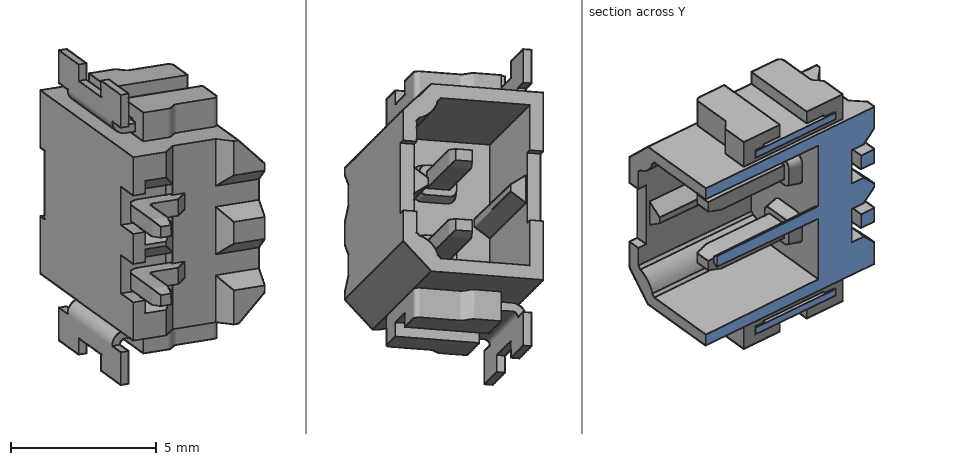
import cadquery as cq
import math

OVERLAP = 0.05

BODY_LENGTH = 7.5
BODY_HEIGHT = 5.0
BODY_HALF_WIDTH = 3.35
BODY_CHAMFER = 1.0
WALL = 0.48
NOTCH_DEPTH = 0.35
NOTCH_WIDTH = 2.5

CAVITY_DEPTH = 5.0
CAVITY_DRAFT = 0.45
POST_SIZE = 0.87
POST_FLAT = 0.11
POST_ROUND_MID = 0.52
RIB_START = 0.5
RIB_BASE_HALF = 0.5
RIB_TIP_HALF = 0.125
RIB_HEIGHT = 0.55
BOSS_WIDTH = 1.55
BOSS_THICKNESS = 1.3
BOSS_CORNER = 0.35
BOSS_HEIGHT = 0.5
BOSS_STEP_IN = 0.12

RELIEF_DEPTH = 0.47
RELIEF_BOTTOM = 1.25
RELIEF_TOP = 3.82
SLOT_WIDTH = 1.4
SLOT_DEPTH = 1.0
SLOT_CEILING = 1.7
UPPER_FLARE_HALF = 0.38
LOWER_FLARE_BOTTOM = 0.46

PIN_PITCH = 2.5
PIN_AXIS_HEIGHT = 2.5
PIN_WIDTH = 0.6
PIN_HEIGHT = 0.8
PIN_START = 1.2
PIN_TIP_LENGTH = 0.5
PIN_TIP_STEP = 0.1
TAIL_THICKNESS = 0.6
TAIL_END = 9.5
TAIL_BEND = 0.5
TAIL_INNER_BEND = 0.15
LEG_TOP = 1.7

HOLDER_CENTER = 4.0
HOLDER_TOP = 4.0
HOLDER_BOTTOM = 1.0
HOLDER_OUTER = 4.4
HOLDER_HALF_NARROW = 1.9
HOLDER_HALF_WIDE = 2.2
HOLDER_SHOULDER = 2.02
HOLDER_ROUND = 0.2
GAP_HALF = 0.6
CLIP_THICKNESS = 0.3
CLIP_INNER = 3.6
CLIP_BEND = 0.5
CLIP_HALF = 1.8
CLIP_TOP = 0.92
CLIP_CORNER = 0.1
NECK_HALF = 1.33
FOOT_HALF = 2.5
FOOT_END = 5.3
FOOT_NOTCH_HALF = 0.9
FOOT_NOTCH_DEPTH = 0.6

PIN_POSITIONS = [-PIN_PITCH / 2, PIN_PITCH / 2]
REAR_FLOOR = BODY_LENGTH - RELIEF_DEPTH


def box(x0, x1, y0, y1, z0, z1):
    """Axis-aligned block between two corners."""
    return cq.Workplane("XY").box(x1 - x0, y1 - y0, z1 - z0, centered=False).translate((x0, y0, z0))


def section_plane(x):
    """Plane at the given X whose local axes are Y and Z, with its normal along +X."""
    return cq.Workplane("YZ", origin=(x, 0, 0))


def plan_plane(y):
    """Plane at height y whose local axes are Z and X, with its normal along +Y."""
    return cq.Workplane("ZX", origin=(0, y, 0))


def symmetric(half):
    """A shape together with its mirror image across the mid plane Z = 0."""
    return half.union(half.mirror("XY"))


def make_shell():
    """Outer housing block with its two chamfered long edges and the mouth notches."""
    shell = box(0, BODY_LENGTH, 0, BODY_HEIGHT, -BODY_HALF_WIDTH, BODY_HALF_WIDTH)
    shell = shell.edges("|X and >Y").chamfer(BODY_CHAMFER)
    notch = box(0, NOTCH_DEPTH, 0, BODY_HEIGHT, -NOTCH_WIDTH / 2, NOTCH_WIDTH / 2)
    return shell.cut(notch)


def make_cavity():
    """Drafted mating cavity with a rounded post left standing in each upper corner."""
    low = WALL
    high = BODY_HEIGHT - WALL
    side = BODY_HALF_WIDTH - WALL
    inset = POST_SIZE - POST_FLAT
    return (
        section_plane(0)
        .moveTo(low, -side)
        .lineTo(high - POST_SIZE, -side)
        .lineTo(high - inset, -side + POST_FLAT)
        .threePointArc(
            (high - POST_ROUND_MID, -side + POST_ROUND_MID),
            (high - POST_FLAT, -side + inset),
        )
        .lineTo(high, -side + POST_SIZE)
        .lineTo(high, side - POST_SIZE)
        .lineTo(high - POST_FLAT, side - inset)
        .threePointArc(
            (high - POST_ROUND_MID, side - POST_ROUND_MID),
            (high - inset, side - POST_FLAT),
        )
        .lineTo(high - POST_SIZE, side)
        .lineTo(low, side)
        .close()
        .extrude(CAVITY_DEPTH, taper=CAVITY_DRAFT)
    )


def make_rib(wall_height, inward):
    """Keying rib on one long wall, thickening towards the floor; inward is +1 or -1 along Y."""
    root = wall_height - inward * OVERLAP
    tip = wall_height + inward * RIB_HEIGHT
    return (
        section_plane(RIB_START)
        .polyline([
            (root, -RIB_BASE_HALF),
            (wall_height, -RIB_BASE_HALF),
            (tip, -RIB_TIP_HALF),
            (tip, RIB_TIP_HALF),
            (wall_height, RIB_BASE_HALF),
            (root, RIB_BASE_HALF),
        ])
        .close()
        .extrude(CAVITY_DEPTH - RIB_START + OVERLAP, taper=-CAVITY_DRAFT)
    )


def make_boss(z):
    """Tapered boss with rounded corners around a pin, rising from the cavity floor."""
    base = cq.Sketch().rect(BOSS_WIDTH, BOSS_THICKNESS).vertices().fillet(BOSS_CORNER)
    draft = math.degrees(math.atan2(BOSS_STEP_IN, BOSS_HEIGHT))
    return (
        section_plane(CAVITY_DEPTH)
        .center(PIN_AXIS_HEIGHT, z)
        .placeSketch(base)
        .extrude(-BOSS_HEIGHT, taper=draft)
    )


def make_rear_relief():
    """Channel with 45 degree sides across the full width of the rear face."""
    return (
        cq.Workplane("XY", origin=(0, 0, -BODY_HALF_WIDTH))
        .polyline([
            (BODY_LENGTH, RELIEF_BOTTOM),
            (REAR_FLOOR, RELIEF_BOTTOM + RELIEF_DEPTH),
            (REAR_FLOOR, RELIEF_TOP - RELIEF_DEPTH),
            (BODY_LENGTH, RELIEF_TOP),
        ])
        .close()
        .extrude(2 * BODY_HALF_WIDTH)
    )


def make_flare(z, floor_half, y0, y1):
    """Slot whose 45 degree sides open from the relief floor out to the rear face."""
    mouth_half = floor_half + RELIEF_DEPTH
    return (
        plan_plane(y0)
        .polyline([
            (z - floor_half, REAR_FLOOR),
            (z + floor_half, REAR_FLOOR),
            (z + mouth_half, BODY_LENGTH),
            (z - mouth_half, BODY_LENGTH),
        ])
        .close()
        .extrude(y1 - y0)
    )


def make_tail_slot(z):
    """Straight slot around a pin's leg, flared at the rear face below and above the relief."""
    half = SLOT_WIDTH / 2
    slot = box(BODY_LENGTH - SLOT_DEPTH, BODY_LENGTH, 0, SLOT_CEILING, z - half, z + half)
    lower_flare = make_flare(z, half, LOWER_FLARE_BOTTOM, SLOT_CEILING)
    upper_flare = make_flare(z, UPPER_FLARE_HALF, SLOT_CEILING, BODY_HEIGHT)
    return slot.union(lower_flare).union(upper_flare)


def make_pin_tip(x, y, z, height, direction):
    """Tapered pin end starting at x and pointing along X; direction is +1 or -1."""
    return (
        section_plane(x)
        .center(y, z)
        .rect(height, PIN_WIDTH)
        .workplane(offset=direction * PIN_TIP_LENGTH)
        .rect(height - 2 * PIN_TIP_STEP, PIN_WIDTH - 2 * PIN_TIP_STEP)
        .loft(ruled=True)
    )


def make_pin(z):
    """Contact pin: blade in the cavity, slanted leg behind the housing, and solder tail."""
    z_low = z - PIN_WIDTH / 2
    blade_start = PIN_START + PIN_TIP_LENGTH
    blade_low = PIN_AXIS_HEIGHT - PIN_HEIGHT / 2
    blade_end = BODY_LENGTH - SLOT_DEPTH
    tail_end = TAIL_END - PIN_TIP_LENGTH
    leg_front = BODY_LENGTH - TAIL_THICKNESS
    slant_top = LEG_TOP + BODY_LENGTH - blade_end

    blade = box(blade_start, blade_end, blade_low, blade_low + PIN_HEIGHT, z_low, z_low + PIN_WIDTH)
    tip = make_pin_tip(blade_start, PIN_AXIS_HEIGHT, z, PIN_HEIGHT, -1)
    leg_and_tail = (
        cq.Workplane("XY", origin=(0, 0, z_low))
        .moveTo(leg_front + TAIL_BEND, 0)
        .lineTo(tail_end, 0)
        .lineTo(tail_end, TAIL_THICKNESS)
        .lineTo(BODY_LENGTH + TAIL_INNER_BEND, TAIL_THICKNESS)
        .radiusArc((BODY_LENGTH, TAIL_THICKNESS + TAIL_INNER_BEND), TAIL_INNER_BEND)
        .lineTo(BODY_LENGTH, LEG_TOP)
        .lineTo(blade_end, slant_top)
        .lineTo(blade_end, SLOT_CEILING)
        .lineTo(leg_front, LEG_TOP)
        .lineTo(leg_front, TAIL_BEND)
        .radiusArc((leg_front + TAIL_BEND, 0), -TAIL_BEND)
        .close()
        .extrude(PIN_WIDTH)
    )
    tail_tip = make_pin_tip(tail_end, TAIL_THICKNESS / 2, z, TAIL_THICKNESS, 1)
    return blade.union(tip).union(leg_and_tail).union(tail_tip)


def make_holder():
    """Pair of shouldered blocks that hold the clip between them on the +Z side."""
    step = HOLDER_HALF_WIDE - HOLDER_HALF_NARROW
    block = (
        cq.Workplane("XY", origin=(HOLDER_CENTER, 0, BODY_HALF_WIDTH - OVERLAP))
        .polyline([
            (GAP_HALF, HOLDER_BOTTOM),
            (HOLDER_HALF_WIDE, HOLDER_BOTTOM),
            (HOLDER_HALF_WIDE, HOLDER_SHOULDER),
            (HOLDER_HALF_NARROW, HOLDER_SHOULDER + step),
            (HOLDER_HALF_NARROW, HOLDER_TOP),
            (GAP_HALF, HOLDER_TOP),
        ])
        .close()
        .extrude(HOLDER_OUTER - BODY_HALF_WIDTH + OVERLAP)
    )
    outer_side = cq.selectors.BoxSelector(
        (HOLDER_CENTER + (GAP_HALF + HOLDER_HALF_NARROW) / 2, HOLDER_BOTTOM + HOLDER_ROUND, 0),
        (HOLDER_CENTER + 2 * HOLDER_HALF_WIDE, 2 * HOLDER_TOP, 2 * HOLDER_OUTER),
    )
    block = block.edges("|Z").edges(outer_side).fillet(HOLDER_ROUND)
    opposite = block.mirror("YZ", (HOLDER_CENTER, 0, 0))
    web = box(
        HOLDER_CENTER - GAP_HALF - OVERLAP, HOLDER_CENTER + GAP_HALF + OVERLAP,
        HOLDER_BOTTOM, HOLDER_TOP,
        BODY_HALF_WIDTH - OVERLAP, CLIP_INNER + CLIP_THICKNESS,
    )
    return block.union(opposite).union(web)


def make_clip():
    """Bent hold-down clip on the +Z side: neck, leg, bend and notched solder foot."""
    clip_outer = CLIP_INNER + CLIP_THICKNESS
    bend_end = CLIP_INNER + CLIP_BEND
    inner_bend = CLIP_BEND - CLIP_THICKNESS

    neck = box(
        HOLDER_CENTER - NECK_HALF, HOLDER_CENTER + NECK_HALF,
        CLIP_TOP - OVERLAP, HOLDER_BOTTOM + OVERLAP, CLIP_INNER, clip_outer,
    )
    leg = (
        cq.Workplane("YZ", origin=(HOLDER_CENTER - CLIP_HALF, 0, 0))
        .moveTo(CLIP_TOP, CLIP_INNER)
        .lineTo(CLIP_TOP, clip_outer)
        .lineTo(CLIP_BEND, clip_outer)
        .radiusArc((CLIP_THICKNESS, bend_end), inner_bend)
        .lineTo(0, bend_end)
        .radiusArc((CLIP_BEND, CLIP_INNER), -CLIP_BEND)
        .close()
        .extrude(2 * CLIP_HALF)
    )
    leg = leg.edges("|Z and >Y").fillet(CLIP_CORNER)
    foot = box(
        HOLDER_CENTER - FOOT_HALF, HOLDER_CENTER + FOOT_HALF, 0, CLIP_THICKNESS, bend_end, FOOT_END,
    )
    foot_notch = box(
        HOLDER_CENTER - FOOT_NOTCH_HALF, HOLDER_CENTER + FOOT_NOTCH_HALF,
        0, CLIP_THICKNESS, FOOT_END - FOOT_NOTCH_DEPTH, FOOT_END,
    )
    return neck.union(leg).union(foot.cut(foot_notch))


housing = make_shell().cut(make_cavity()).cut(make_rear_relief())
housing = housing.union(make_rib(WALL, 1)).union(make_rib(BODY_HEIGHT - WALL, -1))
for pin_z in PIN_POSITIONS:
    housing = housing.cut(make_tail_slot(pin_z))

result = housing.union(symmetric(make_holder())).union(symmetric(make_clip()))
for pin_z in PIN_POSITIONS:
    result = result.union(make_boss(pin_z)).union(make_pin(pin_z))